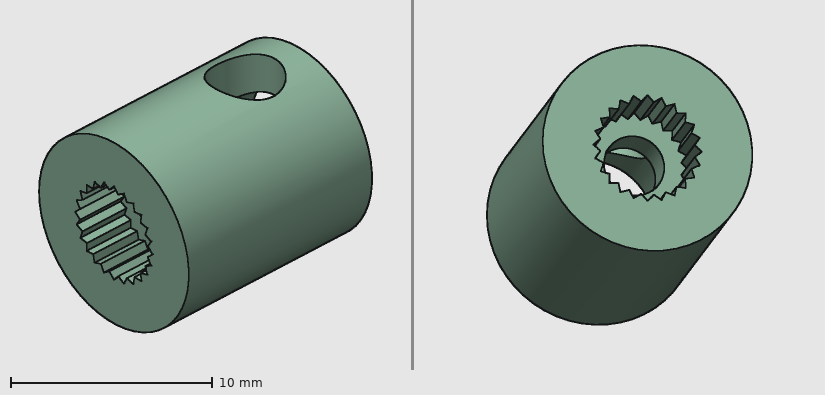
import cadquery as cq
import math

OUTER_DIAMETER = 10.67
LENGTH = 12.7

TOOTH_COUNT = 24
TOOTH_TIP_RADIUS = 2.75
TOOTH_ROOT_RADIUS = 2.42
SOCKET_DEPTH = 3.05

WEB_THICKNESS = 2.03
WEB_HOLE_DIAMETER = 3.07

BORE_DIAMETER = 6.35

SCREW_HOLE_DIAMETER = 4.04
SCREW_HOLE_FROM_REAR = 3.61

FRONT_Y = -LENGTH / 2
REAR_Y = LENGTH / 2
BORE_DEPTH = LENGTH - SOCKET_DEPTH - WEB_THICKNESS


def front_plane():
    """Plane on the front face, with its normal pointing into the part (+Y) and local y along Z."""
    return cq.Plane(origin=(0, FRONT_Y, 0), xDir=(-1, 0, 0), normal=(0, 1, 0))


def rear_plane():
    """Plane on the rear face, with its normal pointing into the part (-Y)."""
    return cq.Plane(origin=(0, REAR_Y, 0), xDir=(1, 0, 0), normal=(0, -1, 0))


def make_body():
    return cq.Workplane(front_plane()).circle(OUTER_DIAMETER / 2).extrude(LENGTH)


def make_toothed_socket():
    """Star-shaped socket whose tips alternate with roots, one tip pointing along each of X and Z."""
    half_pitch = math.pi / TOOTH_COUNT
    points = []
    for i in range(2 * TOOTH_COUNT):
        radius = TOOTH_TIP_RADIUS if i % 2 == 0 else TOOTH_ROOT_RADIUS
        angle = i * half_pitch
        points.append((radius * math.cos(angle), radius * math.sin(angle)))
    return cq.Workplane(front_plane()).polyline(points).close().extrude(SOCKET_DEPTH)


def make_web_hole():
    return cq.Workplane(front_plane()).circle(WEB_HOLE_DIAMETER / 2).extrude(LENGTH)


def make_rear_bore():
    return cq.Workplane(rear_plane()).circle(BORE_DIAMETER / 2).extrude(BORE_DEPTH)


def make_screw_hole():
    """Vertical hole from the part axis out through the top of the outer surface."""
    return (
        cq.Workplane("XY")
        .center(0, REAR_Y - SCREW_HOLE_FROM_REAR)
        .circle(SCREW_HOLE_DIAMETER / 2)
        .extrude(OUTER_DIAMETER / 2)
    )


result = (
    make_body()
    .cut(make_toothed_socket())
    .cut(make_web_hole())
    .cut(make_rear_bore())
    .cut(make_screw_hole())
)